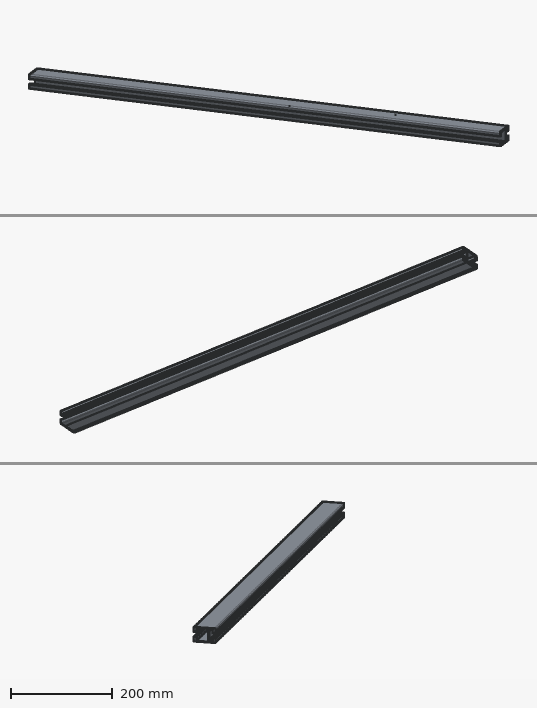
import cadquery as cq

LENGTH = 1000.0
WIDTH = 45.0
HEIGHT = 30.0

SLOT_OPENING = 10.0
RECESS_HEIGHT = 11.6
RECESS_DEPTH = 1.5
LIP_DEPTH = 6.0

CHAMBER_WALL = 2.0

T_SLOT_DEPTH = 12.0
T_SLOT_HEIGHT = 23.0
T_SLOT_CORNER_CHAMFER = 2.5
WEB_THICKNESS = 3.0

FRONT_RADIUS = 3.0
BACK_RADIUS = 2.0

FRONT_Y = -WIDTH / 2
BACK_Y = WIDTH / 2
T_SLOT_FLOOR_Y = BACK_Y - T_SLOT_DEPTH
WEB_FRONT_Y = T_SLOT_FLOOR_Y - WEB_THICKNESS


def long_bar(y_min, y_max, height):
    """Full-length bar between two Y positions, centred on Z = 0."""
    bar = cq.Workplane("XY").box(LENGTH, y_max - y_min, height)
    return bar.translate((0, (y_min + y_max) / 2, 0))


def rounded_body():
    body = long_bar(FRONT_Y, BACK_Y, HEIGHT)
    body = body.faces("<Y").edges("|X").fillet(FRONT_RADIUS)
    return body.faces(">Y").edges("|X").fillet(BACK_RADIUS)


def chamber():
    recess = long_bar(FRONT_Y, FRONT_Y + RECESS_DEPTH, RECESS_HEIGHT)
    opening = long_bar(FRONT_Y, WEB_FRONT_Y, SLOT_OPENING)
    hollow = long_bar(FRONT_Y + LIP_DEPTH, WEB_FRONT_Y, HEIGHT - 2 * CHAMBER_WALL)
    return hollow.union(opening).union(recess)


def t_slot():
    recess = long_bar(BACK_Y - RECESS_DEPTH, BACK_Y, RECESS_HEIGHT)
    opening = long_bar(T_SLOT_FLOOR_Y, BACK_Y, SLOT_OPENING)
    undercut = long_bar(T_SLOT_FLOOR_Y, BACK_Y - LIP_DEPTH, T_SLOT_HEIGHT)
    undercut = undercut.faces("<Y").edges("|X").chamfer(T_SLOT_CORNER_CHAMFER)
    return undercut.union(opening).union(recess)


result = rounded_body().cut(chamber()).cut(t_slot())